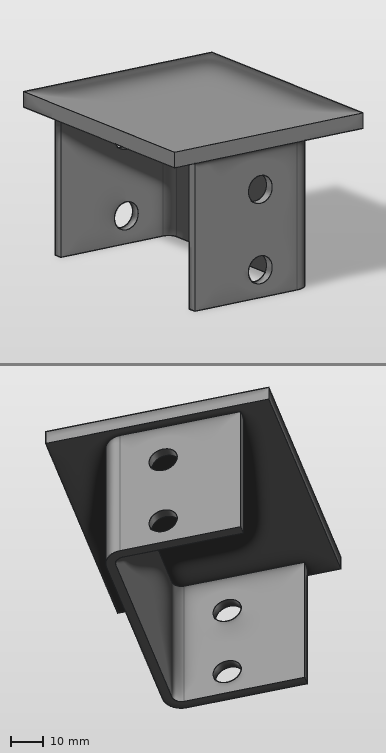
import cadquery as cq

plate_length = 80.0
plate_width = 72.0
total_height = 54.0
plate_thickness = 5.0

sheet_thickness = 3.0
inner_bend_radius = 3.0
outer_bend_radius = inner_bend_radius + sheet_thickness
bracket_length = 74.0
bracket_depth = 45.0
bracket_back_y = 19.0
bracket_front_y = bracket_back_y - bracket_depth
bracket_height = total_height - plate_thickness

hole_diameter = 9.0
hole_y = -1.0
lower_hole_rise = 9.0
hole_spacing = 26.0


def make_plate():
    return cq.Workplane("XY").box(
        plate_length, plate_width, plate_thickness, centered=(True, True, False)
    )


def bent_block(length, back_y, bend_radius):
    """Full-height block, open end at the bracket front, with rounded back corners."""
    depth = back_y - bracket_front_y
    return (
        cq.Workplane("XY")
        .box(length, depth, bracket_height, centered=(True, False, False))
        .translate((0, bracket_front_y, -bracket_height))
        .edges("|Z and >Y")
        .fillet(bend_radius)
    )


def make_bolt_hole(z):
    """Cutter running along X through both side flanges."""
    return (
        cq.Workplane("YZ")
        .center(hole_y, z)
        .circle(hole_diameter / 2)
        .extrude(bracket_length / 2, both=True)
    )


def make_bracket():
    outside = bent_block(bracket_length, bracket_back_y, outer_bend_radius)
    inside = bent_block(
        bracket_length - 2 * sheet_thickness, bracket_back_y - sheet_thickness, inner_bend_radius
    )
    bracket = outside.cut(inside)
    for row in range(2):
        hole_z = -bracket_height + lower_hole_rise + row * hole_spacing
        bracket = bracket.cut(make_bolt_hole(hole_z))
    return bracket


plate = make_plate()
bracket = make_bracket()

result = cq.Compound.makeCompound([plate.val(), bracket.val()])